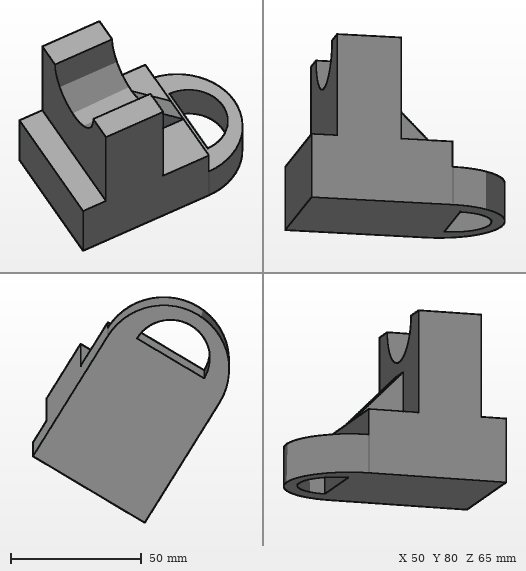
import cadquery as cq

width = 50.0
length = 80.0
upright_height = 40.0
step_depth = 10.0
bore_diameter = 30.0
rib_width = 10.0
rib_leg = 20.0

tail_radius = width / 2
base_height = width / 2
base_length = length - tail_radius
upright_back = base_length - rib_leg
upright_thickness = upright_back - step_depth
bore_radius = bore_diameter / 2
tail_height = base_height * 3 / 5
tail_wall = (tail_radius - bore_radius) / 2
total_height = base_height + upright_height


def block(depth, height, y_start, z_start):
    """Full-width block, centred on X."""
    return (
        cq.Workplane("XY")
        .box(width, depth, height, centered=(True, False, False))
        .translate((0, y_start, z_start))
    )


def half_disc(radius, y_flat):
    """Half disc bulging toward +Y, as thick as the tail."""
    return (
        cq.Workplane("XY")
        .moveTo(radius, y_flat)
        .threePointArc((0, y_flat + radius), (-radius, y_flat))
        .close()
        .extrude(tail_height)
    )


base = block(base_length, base_height, 0, 0)
upright = block(upright_thickness, upright_height, step_depth, base_height)

saddle = (
    cq.Workplane("XZ", origin=(0, upright_back, total_height))
    .circle(bore_radius)
    .extrude(upright_thickness)
)

rib = (
    cq.Workplane("YZ", origin=(0, upright_back, base_height))
    .polyline([(0, 0), (rib_leg, 0), (0, rib_leg)])
    .close()
    .extrude(rib_width / 2, both=True)
)

tail = half_disc(tail_radius, base_length)
window = half_disc(bore_radius, base_length + tail_wall)

result = base.union(upright.cut(saddle)).union(rib).union(tail.cut(window))